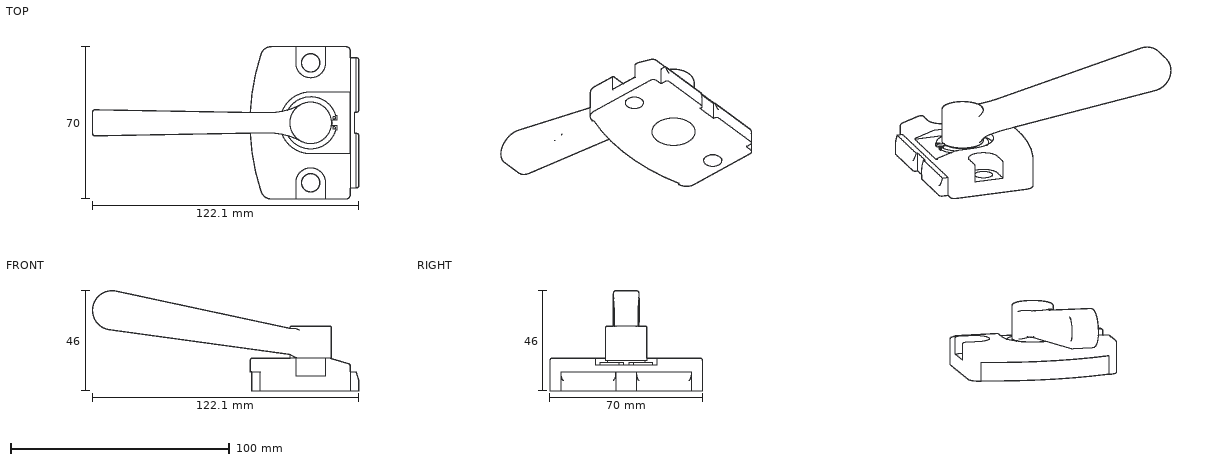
import cadquery as cq
import math


HOUSING_HALF_WIDTH = 70.0 / 2
HOUSING_HEIGHT = 15.1
HOUSING_BACK_X = 18.2
FRONT_BULGE_X = -27.8
FRONT_BULGE_RADIUS = 100.0
FRONT_BULGE_AXIS_X = FRONT_BULGE_X + FRONT_BULGE_RADIUS
FRONT_CORNER_RADIUS = 5.0
BACK_CORNER_RADIUS = 2.1
TOP_EDGE_FILLET = 1.1
SLOPE_START_X = 8.7
SLOPE_END_HEIGHT = 12.3
SLOPE_BREAK_RADIUS = 1.8

SEAT_RADIUS = 14.2
SEAT_HEIGHT = 12.0

SCREW_Y = 27.5
SCREW_HOLE_RADIUS = 4.2
SCREW_SEAT_RADIUS = 6.8
SCREW_SEAT_HEIGHT = 7.0

RECESS_HALF_WIDTH = 30.3
RECESS_HEIGHT = 8.8
RECESS_DEPTH = 0.7
RECESS_CORNER_RADIUS = 0.6

TONGUE_TIP_X = 22.1
TONGUE_HALF_WIDTH = 29.9
TONGUE_HEIGHT = 8.8
TONGUE_TIP_LENGTH = 1.2
TONGUE_TIP_HEIGHT = 4.9
NOTCH_HALF_WIDTH = 4.8
NOTCH_DEPTH = 2.0

HUB_RADIUS = 9.5
HUB_TOP = 29.8
HUB_BOTTOM = 13.9
HUB_FILLET = 0.9
NECK_RADIUS = 8.5
SPINDLE_RADIUS = 9.9

GRIP_RADIUS = 9.0
GRIP_X = -91.0
GRIP_Z = 37.0
TOP_DROP = math.radians(12.1)
BOTTOM_DROP = math.radians(7.8)
GRIP_HALF_THICKNESS = 12.1 / 2
WAIST_HALF_THICKNESS = 4.6
WAIST_X = -19.8
LEVER_END_X = GRIP_X - GRIP_RADIUS
FLANK_SLOPE = (GRIP_HALF_THICKNESS - WAIST_HALF_THICKNESS) / (WAIST_X - LEVER_END_X)
LEVER_FILLET = 1.1
ROOT_X = -9.4
FOOT_X = -4.3
ROOT_BEND_RADIUS = 1.8

SCOOP_LENGTH = 24.9
SCOOP_DROP = (TOP_DROP + BOTTOM_DROP) / 2
SCOOP_LARGE_RADIUS = 6.0
SCOOP_SMALL_RADIUS = 5.1
SCOOP_DEPTH_RATIO = 0.35
SCOOP_LIP_FILLET = 0.7

CLIP_RADIUS = 12.0
CLIP_THICKNESS = 1.2
CLIP_GAP_HALF = 2.6 / 2
EAR_INNER_X = 9.5
EAR_OUTER_X = 12.1
EAR_WIDTH = 2.1
EAR_HOLE_RADIUS = 0.6
EAR_HOLE_X = 10.7


def box(x_range, y_range, z_range):
    """A box given by its limits along each axis."""
    size = [high - low for low, high in (x_range, y_range, z_range)]
    corner = cq.Vector(x_range[0], y_range[0], z_range[0])
    return cq.Workplane(obj=cq.Solid.makeBox(*size, corner))


def cylinder(radius, bottom, top, x=0.0, y=0.0):
    """An upright cylinder."""
    return cq.Workplane("XY", origin=(x, y, bottom)).circle(radius).extrude(top - bottom)


def is_slope_break(edge):
    """True for the edge where the flat top turns into the sloping back."""
    center = edge.Center()
    return center.z > SLOPE_END_HEIGHT and center.x < HOUSING_BACK_X - BACK_CORNER_RADIUS


def is_top_rim(edge):
    """True for the outer edges of the top, but not for the lines across it."""
    center = edge.Center()
    runs_across = abs(center.y) < TOP_EDGE_FILLET and 0 < center.x < HOUSING_BACK_X - BACK_CORNER_RADIUS
    return edge.BoundingBox().zmin > SLOPE_END_HEIGHT - TOP_EDGE_FILLET and not runs_across


def housing_block():
    """The bulged block with its sloping back, rounded corners and rounded top edges."""
    side = (
        cq.Workplane("XZ", origin=(0, HOUSING_HALF_WIDTH, 0))
        .moveTo(FRONT_BULGE_X, 0)
        .lineTo(HOUSING_BACK_X, 0)
        .lineTo(HOUSING_BACK_X, SLOPE_END_HEIGHT)
        .lineTo(SLOPE_START_X, HOUSING_HEIGHT)
        .lineTo(FRONT_BULGE_X, HOUSING_HEIGHT)
        .close()
        .extrude(2 * HOUSING_HALF_WIDTH)
    )
    bulge = cylinder(FRONT_BULGE_RADIUS, 0, HOUSING_HEIGHT, x=FRONT_BULGE_AXIS_X)
    block = side.intersect(bulge)
    bulge_corners = block.edges("|Z").filter(lambda edge: edge.Center().x < 0)
    block = bulge_corners.fillet(FRONT_CORNER_RADIUS)
    block = block.edges("|Z and >X").fillet(BACK_CORNER_RADIUS)
    block = block.edges("|Y").filter(is_slope_break).fillet(SLOPE_BREAK_RADIUS)
    return block.edges().filter(is_top_rim).fillet(TOP_EDGE_FILLET)


def tongue():
    """The locking tongue with a bevelled tip and a notch in its middle."""
    bar = box(
        (HOUSING_BACK_X, TONGUE_TIP_X),
        (-TONGUE_HALF_WIDTH, TONGUE_HALF_WIDTH),
        (0, TONGUE_HEIGHT),
    )
    notch = box(
        (TONGUE_TIP_X - NOTCH_DEPTH, TONGUE_TIP_X),
        (-NOTCH_HALF_WIDTH, NOTCH_HALF_WIDTH),
        (0, TONGUE_HEIGHT),
    )
    bar = bar.cut(notch).edges("|Z and >X").fillet(TONGUE_TIP_LENGTH)
    bevel = (
        cq.Workplane("XZ", origin=(0, TONGUE_HALF_WIDTH, 0))
        .moveTo(TONGUE_TIP_X - TONGUE_TIP_LENGTH, TONGUE_HEIGHT)
        .lineTo(TONGUE_TIP_X, TONGUE_HEIGHT)
        .lineTo(TONGUE_TIP_X, TONGUE_TIP_HEIGHT)
        .close()
        .extrude(2 * TONGUE_HALF_WIDTH)
    )
    return bar.cut(bevel)


def front_recess():
    """The shallow recess that follows the bulged face."""
    recess_floor_disc = cylinder(
        FRONT_BULGE_RADIUS - RECESS_DEPTH, 0, RECESS_HEIGHT, x=FRONT_BULGE_AXIS_X
    )
    band = box(
        (FRONT_BULGE_X, 0),
        (-RECESS_HALF_WIDTH, RECESS_HALF_WIDTH),
        (0, RECESS_HEIGHT),
    )
    recess = band.cut(recess_floor_disc)
    return recess.edges("|Z and >X").fillet(RECESS_CORNER_RADIUS)


def clip_seat():
    """The flat seat around the spindle, open toward the back face."""
    channel = box((0, HOUSING_BACK_X), (-SEAT_RADIUS, SEAT_RADIUS), (SEAT_HEIGHT, HOUSING_HEIGHT))
    return cylinder(SEAT_RADIUS, SEAT_HEIGHT, HOUSING_HEIGHT).union(channel)


def screw_seat(side):
    """A screw hole and its seat, open toward the housing's side (side is +1 or -1)."""
    hole = cylinder(SCREW_HOLE_RADIUS, 0, HOUSING_HEIGHT, y=side * SCREW_Y)
    seat = cylinder(SCREW_SEAT_RADIUS, SCREW_SEAT_HEIGHT, HOUSING_HEIGHT, y=side * SCREW_Y)
    opening = box(
        (-SCREW_SEAT_RADIUS, SCREW_SEAT_RADIUS),
        sorted((side * SCREW_Y, side * HOUSING_HALF_WIDTH)),
        (SCREW_SEAT_HEIGHT, HOUSING_HEIGHT),
    )
    return hole.union(seat).union(opening)


def make_housing():
    """The block with its tongue, recess, clip seat, screw seats and spindle bore."""
    body = housing_block().union(tongue())
    body = body.cut(front_recess()).cut(clip_seat())
    for side in (-1, 1):
        body = body.cut(screw_seat(side))
    return body.cut(cylinder(SPINDLE_RADIUS, 0, SEAT_HEIGHT))


def is_root_bend(edge):
    """True for the bends where the lever's top and bottom turn toward the hub."""
    return abs(edge.Center().x - ROOT_X) < ROOT_BEND_RADIUS / 2


def lever_side_outline():
    """The lever's XZ profile: a round grip end, with top and bottom running to the hub axis."""
    top_x = GRIP_X + GRIP_RADIUS * math.sin(TOP_DROP)
    top_z = GRIP_Z + GRIP_RADIUS * math.cos(TOP_DROP)
    bottom_x = GRIP_X - GRIP_RADIUS * math.sin(BOTTOM_DROP)
    bottom_z = GRIP_Z - GRIP_RADIUS * math.cos(BOTTOM_DROP)
    shoulder_z = top_z - (ROOT_X - top_x) * math.tan(TOP_DROP)
    root_bottom_z = bottom_z - (ROOT_X - bottom_x) * math.tan(BOTTOM_DROP)
    sharp = (
        cq.Workplane("XZ", origin=(0, HUB_RADIUS, 0))
        .moveTo(0, shoulder_z)
        .lineTo(ROOT_X, shoulder_z)
        .lineTo(top_x, top_z)
        .threePointArc((LEVER_END_X, GRIP_Z), (bottom_x, bottom_z))
        .lineTo(ROOT_X, root_bottom_z)
        .lineTo(FOOT_X, HUB_BOTTOM)
        .lineTo(0, HUB_BOTTOM)
        .close()
        .extrude(2 * HUB_RADIUS)
    )
    return sharp.edges("|Y").filter(is_root_bend).fillet(ROOT_BEND_RADIUS)


def lever_plan_outline():
    """The lever's XY profile: thinning to a waist, then flaring by arcs tangent to the hub."""
    taper = math.atan(FLANK_SLOPE)
    normal_x = math.sin(taper)
    normal_y = math.cos(taper)
    reach = WAIST_X * normal_x + WAIST_HALF_THICKNESS * normal_y
    waist_square = WAIST_X**2 + WAIST_HALF_THICKNESS**2
    flare = (waist_square - HUB_RADIUS**2) / (2 * (HUB_RADIUS - reach))
    center_x = WAIST_X + flare * normal_x
    center_y = WAIST_HALF_THICKNESS + flare * normal_y
    hub_share = HUB_RADIUS / (HUB_RADIUS + flare)
    touch_x = center_x * hub_share
    touch_y = center_y * hub_share
    mid_angle = (math.atan2(-normal_y, -normal_x) + math.atan2(-center_y, -center_x)) / 2
    mid_x = center_x + flare * math.cos(mid_angle)
    mid_y = center_y + flare * math.sin(mid_angle)
    return (
        cq.Workplane("XY")
        .moveTo(LEVER_END_X, -GRIP_HALF_THICKNESS)
        .lineTo(WAIST_X, -WAIST_HALF_THICKNESS)
        .threePointArc((mid_x, -mid_y), (touch_x, -touch_y))
        .lineTo(touch_x, touch_y)
        .threePointArc((mid_x, mid_y), (WAIST_X, WAIST_HALF_THICKNESS))
        .lineTo(LEVER_END_X, GRIP_HALF_THICKNESS)
        .close()
        .extrude(GRIP_Z + 2 * GRIP_RADIUS)
    )


def scoop(side):
    """A tapered capsule that cuts a shallow pocket into one lever flank."""
    sphere_ratio = (1 + SCOOP_DEPTH_RATIO**2) / (2 * SCOOP_DEPTH_RATIO)
    large = SCOOP_LARGE_RADIUS * sphere_ratio
    small = SCOOP_SMALL_RADIUS * sphere_ratio
    rise_ratio = sphere_ratio - SCOOP_DEPTH_RATIO
    large_flank_y = GRIP_HALF_THICKNESS - FLANK_SLOPE * GRIP_RADIUS
    small_flank_y = large_flank_y - FLANK_SLOPE * SCOOP_LENGTH
    large_y = large_flank_y + rise_ratio * SCOOP_LARGE_RADIUS
    small_y = small_flank_y + rise_ratio * SCOOP_SMALL_RADIUS
    axis = cq.Vector(
        SCOOP_LENGTH * math.cos(SCOOP_DROP),
        side * (small_y - large_y),
        -SCOOP_LENGTH * math.sin(SCOOP_DROP),
    )
    inward = cq.Vector(0, -side, 0)
    plane = cq.Plane(
        origin=(GRIP_X, side * large_y, GRIP_Z),
        xDir=axis,
        normal=axis.cross(inward),
    )
    length = axis.Length
    lean = math.asin((large - small) / length)
    diagonal = math.sqrt(0.5)
    return (
        cq.Workplane(plane)
        .moveTo(-large, 0)
        .threePointArc(
            (-large * diagonal, large * diagonal),
            (large * math.sin(lean), large * math.cos(lean)),
        )
        .lineTo(length + small * math.sin(lean), small * math.cos(lean))
        .threePointArc((length + small * diagonal, small * diagonal), (length + small, 0))
        .close()
        .revolve(360, (0, 0, 0), (1, 0, 0))
    )


def is_lever_rim(edge):
    """True for the edges between the lever's flanks and its top, end and bottom."""
    center = edge.Center()
    on_flank = abs(center.y) > WAIST_HALF_THICKNESS - LEVER_FILLET
    upright = edge.BoundingBox().xlen < LEVER_FILLET
    return on_flank and not upright


def is_scoop_lip(edge):
    """True for the edges where a scoop opens on a flank."""
    bounds = edge.BoundingBox()
    starts_in_grip = bounds.xmin > LEVER_END_X + LEVER_FILLET
    ends_in_grip = bounds.xmax < GRIP_X + SCOOP_LENGTH + 2 * SCOOP_SMALL_RADIUS
    on_flank = abs(edge.Center().y) > WAIST_HALF_THICKNESS
    return starts_in_grip and ends_in_grip and on_flank and edge.Length() > SCOOP_SMALL_RADIUS


def make_lever():
    """The lever with rounded long edges and a scooped pocket in each flank."""
    lever = lever_side_outline().intersect(lever_plan_outline())
    lever = lever.edges().filter(is_lever_rim).fillet(LEVER_FILLET)
    for side in (-1, 1):
        lever = lever.cut(scoop(side))
    return lever.edges().filter(is_scoop_lip).fillet(SCOOP_LIP_FILLET)


def make_handle():
    """The hub with its lever at the side and the stepped spindle below."""
    hub = cylinder(HUB_RADIUS, HUB_BOTTOM, HUB_TOP).faces(">Z").edges().fillet(HUB_FILLET)
    grip = hub.union(make_lever())
    neck = cylinder(NECK_RADIUS, SEAT_HEIGHT, HUB_BOTTOM)
    spindle = cylinder(SPINDLE_RADIUS, 0, SEAT_HEIGHT)
    return grip.union(neck).union(spindle)


def make_clip():
    """The open ring around the neck, with a pierced ear at each side of its gap."""
    top = SEAT_HEIGHT + CLIP_THICKNESS
    ring = cylinder(CLIP_RADIUS, SEAT_HEIGHT, top)
    for side in (-1, 1):
        ear_y = sorted((side * CLIP_GAP_HALF, side * (CLIP_GAP_HALF + EAR_WIDTH)))
        ring = ring.union(box((EAR_INNER_X, EAR_OUTER_X), ear_y, (SEAT_HEIGHT, top)))
    for side in (-1, 1):
        hole_y = side * (CLIP_GAP_HALF + EAR_WIDTH / 2)
        ring = ring.cut(cylinder(EAR_HOLE_RADIUS, SEAT_HEIGHT, top, x=EAR_HOLE_X, y=hole_y))
    ring = ring.cut(cylinder(NECK_RADIUS, SEAT_HEIGHT, top))
    return ring.cut(box((0, SEAT_RADIUS), (-CLIP_GAP_HALF, CLIP_GAP_HALF), (SEAT_HEIGHT, top)))


housing = make_housing()
handle = make_handle()
clip = make_clip()

result = cq.Compound.makeCompound([housing.val(), handle.val(), clip.val()])